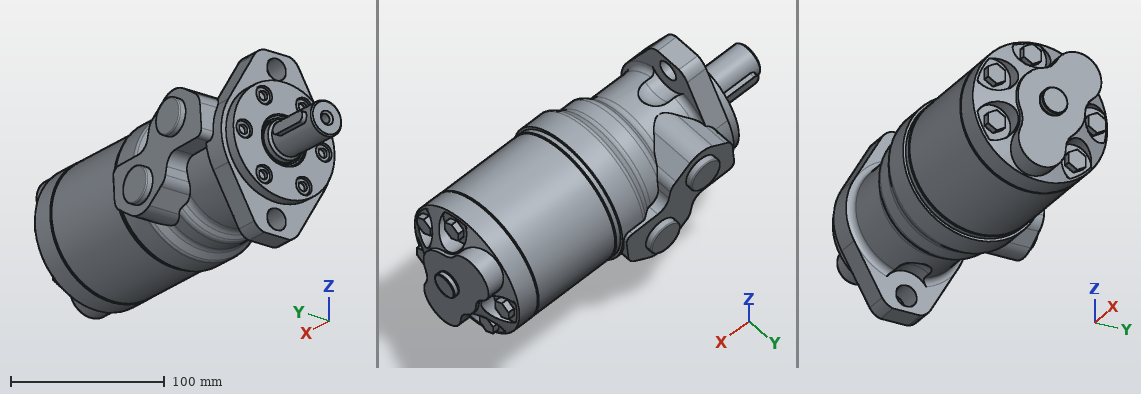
import cadquery as cq
import math

CUT_MARGIN = 2.7

COLLAR_START = 43.0
FRONT_FACE = 46.5
FLANGE_FRONT = 54.5
FLANGE_BACK = 71.2
NECK_END = 106.8
HEAD_END = 159.7
GEAR_FRONT_JOINT = 163.7
GEAR_REAR_JOINT = 232.5
COVER_RIM = 249.5
BOLT_SEAT = 250.3
CONE_END = 262.1
REAR_FACE = 264.8
PLUG_END = 269.7

PILOT_RADIUS = 41.3
NECK_RADIUS = 40.5
FLANGE_RADIUS = 45.0
GEAR_RADIUS = 100.0 / 2
COVER_RADIUS = 50.2
HUB_RADIUS = 25.0
JOINT_GROOVE_WIDTH = 0.8
JOINT_GROOVE_DEPTH = 0.5

FIRST_SWELL_SLOPE = math.radians(41)
FIRST_SWELL_LENGTHS = (5.7, 2.7, 4.0)
FIRST_LAND_LENGTH = 10.5
SECOND_SWELL_SLOPE = math.radians(35.3)
SECOND_SWELL_LENGTHS = (4.0, 4.9, 2.7)

FLANGE_HALF_HEIGHT = 129.7 / 2
FLANGE_TANGENT_ANGLE = math.radians(29.8)
FLANGE_TIP_HALF_WIDTH = 10.2
FLANGE_SIDE_END = 58.8
FLANGE_CORNER_RADIUS = 12.7
MOUNT_HOLE_DIAMETER = 15.5
MOUNT_HOLE_OFFSET = 53.0
CLEARANCE_RADIUS = 18.0
CLEARANCE_STRAIGHT_END = 81.2

SCREW_COUNT = 6
SCREW_CIRCLE_RADIUS = 32.4
SCREW_HOLE_DIAMETER = 13.0
SCREW_HEAD_DIAMETER = 12.0
SCREW_SOCKET_DIAMETER = 6.7
SCREW_HOLE_DEPTH = 5.5
SCREW_HEAD_RECESS = 1.0
SCREW_SOCKET_DEPTH = 2.7
SCREW_HEAD_ROUND = 0.95

PORT_FACE = 54.7
PORT_RADIUS = 20.0
PORT_MID_X = 110.8
PORT_OFFSET_X = 17.8
PORT_OFFSET_Z = 18.0
PORT_PLUG_DIAMETER = 26.0
PORT_PLUG_HEIGHT = 5.0
PORT_PLUG_ROUND = 0.8

COVER_POSITIONS = 7
LOBE_POSITIONS = (1, 5)
BOLT_CIRCLE_RADIUS = 39.5
BOLT_POCKET_DIAMETER = 26.0
BOLT_FLATS_WIDTH = 13.0
BOLT_HEAD_HEIGHT = 4.9
LOBE_CENTER_RADIUS = 31.5
LOBE_RADIUS = 17.5

SHAFT_DIAMETER = 25.0
SHAFT_TIP_CHAMFER = 1.0
COLLAR_DIAMETER = 28.5
COLLAR_TAPER_LENGTH = 2.0
SEAL_MOUTH_DIAMETER = 36.5
SEAL_STEPS = ((34.8, 1.3), (31.8, 2.7), (29.0, 4.0))
CENTER_HOLE_DIAMETER = 6.7
CENTER_SINK_DIAMETER = 10.0
CENTER_HOLE_DEPTH = 13.0
KEY_START = 5.5
KEY_LENGTH = 32.0
KEY_WIDTH = 8.0
KEY_BOTTOM = 9.0
KEY_TOP = 16.0

DRAIN_PLUG_DIAMETER = 19.0
DRAIN_PLUG_CHAMFER = 0.5
DRAIN_NECK_DIAMETER = 18.0
DRAIN_NECK_HEIGHT = 0.8


def axial_cylinder(diameter, start, end, y=0.0, z=0.0):
    """Cylinder parallel to the shaft axis."""
    return cq.Workplane("YZ", origin=(start, y, z)).circle(diameter / 2).extrude(end - start)


def on_circle(radius, angle):
    """Y and Z of a point on a circle around the shaft axis."""
    return radius * math.cos(angle), radius * math.sin(angle)


def spin(profile):
    return profile.close().revolve(360, (0, 0, 0), (1, 0, 0))


def swell(profile, start, radius, slope, lengths):
    """Add a smooth S-shaped rise to a turned profile; return it with its end station and radius."""
    concave, straight, convex = lengths
    x1 = start + concave
    r1 = radius + concave * math.tan(slope / 2)
    x2 = x1 + straight
    r2 = r1 + straight * math.tan(slope)
    x3 = x2 + convex
    r3 = r2 + convex * math.tan(slope / 2)
    profile = (
        profile.lineTo(start, radius)
        .tangentArcPoint((x1, r1), relative=False)
        .lineTo(x2, r2)
        .tangentArcPoint((x3, r3), relative=False)
    )
    return profile, x3, r3


def turned_body():
    """Neck, head, gear section and conical rear cover as one turned shape."""
    fillet = FLANGE_RADIUS - NECK_RADIUS
    fillet_middle = fillet * math.sqrt(0.5)
    profile = (
        cq.Workplane("XY")
        .moveTo(FLANGE_FRONT, 0)
        .lineTo(FLANGE_FRONT, PILOT_RADIUS)
        .lineTo(FLANGE_BACK, PILOT_RADIUS)
        .lineTo(FLANGE_BACK, FLANGE_RADIUS)
        .threePointArc(
            (FLANGE_BACK + fillet - fillet_middle, FLANGE_RADIUS - fillet_middle),
            (FLANGE_BACK + fillet, NECK_RADIUS),
        )
    )
    profile, land_start, land_radius = swell(
        profile, NECK_END, NECK_RADIUS, FIRST_SWELL_SLOPE, FIRST_SWELL_LENGTHS
    )
    profile, _, head_radius = swell(
        profile, land_start + FIRST_LAND_LENGTH, land_radius, SECOND_SWELL_SLOPE, SECOND_SWELL_LENGTHS
    )
    profile = (
        profile.lineTo(HEAD_END, head_radius)
        .lineTo(HEAD_END, GEAR_RADIUS)
        .lineTo(GEAR_REAR_JOINT, GEAR_RADIUS)
        .lineTo(GEAR_REAR_JOINT, COVER_RADIUS)
        .lineTo(COVER_RIM, COVER_RADIUS)
        .lineTo(CONE_END, HUB_RADIUS)
        .lineTo(CONE_END, 0)
    )
    return spin(profile)


def joint_groove(station):
    """Narrow ring that marks a joint on the gear section."""
    start = station - JOINT_GROOVE_WIDTH / 2
    end = station + JOINT_GROOVE_WIDTH / 2
    outer = axial_cylinder(2 * (GEAR_RADIUS + CUT_MARGIN), start, end)
    return outer.cut(axial_cylinder(2 * (GEAR_RADIUS - JOINT_GROOVE_DEPTH), start, end))


def flange():
    """Two-hole flange: a round middle with straight tangent sides running to rounded tips."""
    normal_y, normal_z = math.cos(FLANGE_TANGENT_ANGLE), math.sin(FLANGE_TANGENT_ANGLE)
    tangent_y, tangent_z = FLANGE_RADIUS * normal_y, FLANGE_RADIUS * normal_z
    side_y = (FLANGE_RADIUS - FLANGE_SIDE_END * normal_z) / normal_y
    corner_y = side_y - FLANGE_CORNER_RADIUS * normal_y
    corner_z = FLANGE_SIDE_END - FLANGE_CORNER_RADIUS * normal_z
    tip_angle = math.atan2(FLANGE_HALF_HEIGHT - corner_z, FLANGE_TIP_HALF_WIDTH - corner_y)
    middle_angle = (FLANGE_TANGENT_ANGLE + tip_angle) / 2
    middle_y = corner_y + FLANGE_CORNER_RADIUS * math.cos(middle_angle)
    middle_z = corner_z + FLANGE_CORNER_RADIUS * math.sin(middle_angle)
    tip_y, tip_z = FLANGE_TIP_HALF_WIDTH, FLANGE_HALF_HEIGHT
    side_z = FLANGE_SIDE_END
    return (
        cq.Workplane("YZ", origin=(FLANGE_FRONT, 0, 0))
        .moveTo(tangent_y, -tangent_z)
        .threePointArc((FLANGE_RADIUS, 0), (tangent_y, tangent_z))
        .lineTo(side_y, side_z)
        .threePointArc((middle_y, middle_z), (tip_y, tip_z))
        .lineTo(-tip_y, tip_z)
        .threePointArc((-middle_y, middle_z), (-side_y, side_z))
        .lineTo(-tangent_y, tangent_z)
        .threePointArc((-FLANGE_RADIUS, 0), (-tangent_y, -tangent_z))
        .lineTo(-side_y, -side_z)
        .threePointArc((-middle_y, -middle_z), (-tip_y, -tip_z))
        .lineTo(tip_y, -tip_z)
        .threePointArc((middle_y, -middle_z), (side_y, -side_z))
        .close()
        .extrude(FLANGE_BACK - FLANGE_FRONT)
    )


def mount_hole_cut(z):
    """Mounting hole with the ball-ended clearance for its bolt head in the neck."""
    hole = axial_cylinder(MOUNT_HOLE_DIAMETER, FLANGE_FRONT - CUT_MARGIN, FLANGE_BACK, 0, z)
    clearance = axial_cylinder(2 * CLEARANCE_RADIUS, FLANGE_BACK, CLEARANCE_STRAIGHT_END, 0, z)
    ball = cq.Workplane("XY").sphere(CLEARANCE_RADIUS).translate((CLEARANCE_STRAIGHT_END, 0, z))
    behind_flange = axial_cylinder(
        4 * CLEARANCE_RADIUS, FLANGE_BACK, CLEARANCE_STRAIGHT_END + CLEARANCE_RADIUS, 0, z
    )
    return hole.union(clearance).union(ball.intersect(behind_flange))


def port_block_half(outline, turn):
    """Add the upper half of the block outline (turn = 1) or its half-turned copy (turn = -1).

    Points are X and Z distances from the middle between the two ports.
    """
    def at(x, z):
        return turn * x, turn * z

    port_top = PORT_OFFSET_Z + PORT_RADIUS
    return (
        outline.lineTo(*at(-46.0, 19.1))
        .threePointArc(at(-44.0, 24.3), at(-39.6, 28.0))
        .lineTo(*at(-28.5, 35.0))
        .threePointArc(at(-PORT_OFFSET_X, port_top), at(-8.4, 35.0))
        .lineTo(*at(3.8, 26.0))
        .threePointArc(at(7.3, 23.0), at(9.0, 19.5))
        .lineTo(*at(10.2, 13.8))
        .threePointArc(at(13.8, 7.5), at(20.0, 5.0))
        .lineTo(*at(42.3, 4.5))
        .threePointArc(at(46.0, 3.2), at(47.7, -0.5))
    )


def port_block():
    """Block carrying the two ports; its outline is the same after half a turn about its middle."""
    outline = cq.Workplane("XZ", origin=(PORT_MID_X, 0, 0)).moveTo(-47.7, 0.5)
    for turn in (1, -1):
        outline = port_block_half(outline, turn)
    return outline.close().extrude(-PORT_FACE)


def front_screw(y, z):
    """Head of a socket screw, standing on the floor of its hole."""
    top = FRONT_FACE + SCREW_HEAD_RECESS
    floor = FRONT_FACE + SCREW_HOLE_DEPTH
    head = axial_cylinder(SCREW_HEAD_DIAMETER, top, floor, y, z)
    head = head.faces("<X").edges().fillet(SCREW_HEAD_ROUND)
    return head.cut(axial_cylinder(SCREW_SOCKET_DIAMETER, top, top + SCREW_SOCKET_DEPTH, y, z))


def shaft_opening():
    """Stepped seal recess around the shaft and the blind bore that holds it."""
    opening = axial_cylinder(COLLAR_DIAMETER, FRONT_FACE, FLANGE_BACK)
    for diameter, depth in SEAL_STEPS:
        opening = opening.union(axial_cylinder(diameter, FRONT_FACE, FRONT_FACE + depth))
    mouth_radius = SEAL_MOUTH_DIAMETER / 2
    mouth_depth = mouth_radius - SEAL_STEPS[0][0] / 2
    mouth = spin(
        cq.Workplane("XY")
        .moveTo(FRONT_FACE, 0)
        .lineTo(FRONT_FACE, mouth_radius)
        .lineTo(FRONT_FACE + mouth_depth, mouth_radius - mouth_depth)
        .lineTo(FRONT_FACE + mouth_depth, 0)
    )
    return opening.union(mouth)


def cover_angle(position):
    return 2 * math.pi * position / COVER_POSITIONS


def rear_bosses():
    """Central hub and two lobes, blended by hollow rounds as large as the lobes."""
    bosses = axial_cylinder(2 * HUB_RADIUS, COVER_RIM, REAR_FACE)
    for position in LOBE_POSITIONS:
        y, z = on_circle(LOBE_CENTER_RADIUS, cover_angle(position))
        bosses = bosses.union(axial_cylinder(2 * LOBE_RADIUS, COVER_RIM, REAR_FACE, y, z))
    corners = cq.selectors.BoxSelector(
        (COVER_RIM, -HUB_RADIUS, -HUB_RADIUS), (REAR_FACE, HUB_RADIUS, HUB_RADIUS)
    )
    return bosses.edges("|X").edges(corners).fillet(LOBE_RADIUS)


def bolt_head(y, z):
    """Hexagon head with its corners toward +Z and -Z."""
    corner_diameter = BOLT_FLATS_WIDTH / math.cos(math.pi / 6)
    return (
        cq.Workplane("YZ", origin=(BOLT_SEAT, y, z))
        .transformed(rotate=(0, 0, 90))
        .polygon(6, corner_diameter)
        .extrude(BOLT_HEAD_HEIGHT)
    )


def make_housing():
    body = turned_body().union(axial_cylinder(2 * PILOT_RADIUS, FRONT_FACE, FLANGE_BACK))
    body = body.union(flange()).union(port_block())
    for side in (1, -1):
        body = body.cut(mount_hole_cut(side * MOUNT_HOLE_OFFSET))
    for station in (GEAR_FRONT_JOINT, GEAR_REAR_JOINT):
        body = body.cut(joint_groove(station))
    body = body.cut(shaft_opening())

    for index in range(SCREW_COUNT):
        y, z = on_circle(SCREW_CIRCLE_RADIUS, 2 * math.pi * index / SCREW_COUNT)
        body = body.cut(axial_cylinder(SCREW_HOLE_DIAMETER, FRONT_FACE, FRONT_FACE + SCREW_HOLE_DEPTH, y, z))
        body = body.union(front_screw(y, z))

    body = body.union(rear_bosses())
    for position in range(COVER_POSITIONS):
        if position in LOBE_POSITIONS:
            continue
        y, z = on_circle(BOLT_CIRCLE_RADIUS, cover_angle(position))
        body = body.cut(axial_cylinder(BOLT_POCKET_DIAMETER, BOLT_SEAT, REAR_FACE, y, z))
        body = body.union(bolt_head(y, z))
    return body.solids()


def make_key():
    """Round-ended key lying in the +Y side of the shaft."""
    middle = KEY_START + KEY_LENGTH / 2
    return (
        cq.Workplane("XZ", origin=(middle, KEY_BOTTOM, 0))
        .slot2D(KEY_LENGTH, KEY_WIDTH)
        .extrude(KEY_BOTTOM - KEY_TOP)
    )


def make_shaft(key):
    """Keyed shaft with a tapered collar and a countersunk center hole in its tip."""
    radius = SHAFT_DIAMETER / 2
    collar_radius = COLLAR_DIAMETER / 2
    shaft = spin(
        cq.Workplane("XY")
        .moveTo(0, 0)
        .lineTo(0, radius - SHAFT_TIP_CHAMFER)
        .lineTo(SHAFT_TIP_CHAMFER, radius)
        .lineTo(COLLAR_START, radius)
        .lineTo(COLLAR_START + COLLAR_TAPER_LENGTH, collar_radius)
        .lineTo(FLANGE_BACK, collar_radius)
        .lineTo(FLANGE_BACK, 0)
    )
    hole_radius = CENTER_HOLE_DIAMETER / 2
    sink_radius = CENTER_SINK_DIAMETER / 2
    center_hole = spin(
        cq.Workplane("XY")
        .moveTo(0, 0)
        .lineTo(0, sink_radius)
        .lineTo(sink_radius - hole_radius, hole_radius)
        .lineTo(CENTER_HOLE_DEPTH, hole_radius)
        .lineTo(CENTER_HOLE_DEPTH + hole_radius, 0)
    )
    return shaft.cut(center_hole).cut(key).solids()


def make_port_plug(x, z):
    """Round cap closing one port."""
    return (
        cq.Workplane("XZ", origin=(x, PORT_FACE, z))
        .circle(PORT_PLUG_DIAMETER / 2)
        .extrude(-PORT_PLUG_HEIGHT)
        .faces(">Y")
        .edges()
        .fillet(PORT_PLUG_ROUND)
        .solids()
    )


def make_drain_plug():
    """Chamfered disc on a short neck, closing the drain in the middle of the rear face."""
    neck_end = REAR_FACE + DRAIN_NECK_HEIGHT
    disc = axial_cylinder(DRAIN_PLUG_DIAMETER, neck_end, PLUG_END)
    disc = disc.faces(">X").edges().chamfer(DRAIN_PLUG_CHAMFER)
    return disc.union(axial_cylinder(DRAIN_NECK_DIAMETER, REAR_FACE, neck_end)).solids()


housing = make_housing()
key = make_key()
shaft = make_shaft(key)
port_plugs = [
    make_port_plug(PORT_MID_X - side * PORT_OFFSET_X, side * PORT_OFFSET_Z) for side in (1, -1)
]
drain_plug = make_drain_plug()

result = cq.Compound.makeCompound(
    [housing.val(), shaft.val(), key.val(), *[plug.val() for plug in port_plugs], drain_plug.val()]
)